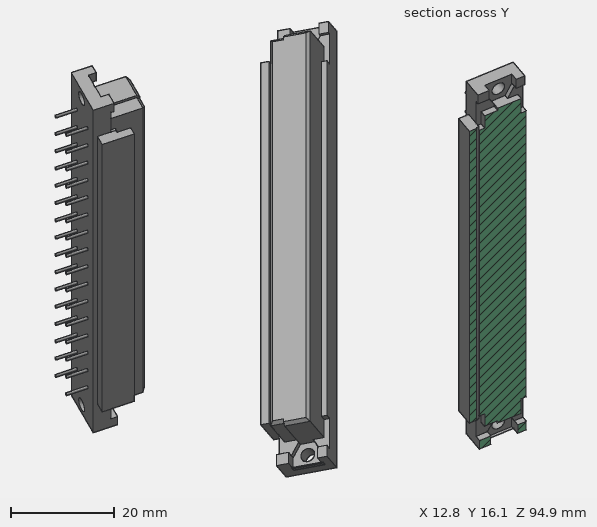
import cadquery as cq
import math

flange_width = 10.5
hole_spacing = 90.0
hole_margin = 2.4
flange_length = hole_spacing + 2 * hole_margin
half_length = flange_length / 2
flange_depth = 5.15
recess_floor = 3.7
recess_end = 8.9
top_lug_depth = 4.4

hole_diameter = 2.8
hole_x = -0.3
nut_across_corners = 6.0
nut_across_flats = nut_across_corners * math.cos(math.pi / 6)
nut_floor = 2.75

shroud_width = 8.2
shroud_back = 11.6
shroud_margin = hole_margin + nut_across_flats / 2
shroud_length = flange_length - 2 * shroud_margin
shroud_step_x = hole_x + nut_across_corners / 4
shroud_step = 0.6
shroud_chamfer = 0.65

rail_length = 78.6
rail_width = 2.25
rail_gap = 0.55
rail_front = 0.9
rail_foot_back = 4.8
rail_back = 7.65

pin_diameter = 0.6
pin_length = 4.5
pin_embed = 1.0
pin_pitch = 5.08
pin_rows = 16
pin_z_offset = 1.27

strip_width = 6.5
strip_depth = 1.1
strip_height = 0.1
strip_front = 2.2
strip_x = -0.45


def block(x_min, x_max, y_min, y_max, z_min, z_max):
    """Box given by its limits along each axis."""
    size = (x_max - x_min, y_max - y_min, z_max - z_min)
    return cq.Workplane("XY").box(*size, centered=False).translate((x_min, y_min, z_min))


def make_flange():
    """Side profile with a recess beside each end lug, extruded across X."""
    lug_inner = hole_spacing / 2
    middle_end = half_length - recess_end
    profile = [
        (0, -half_length),
        (flange_depth, -half_length),
        (flange_depth, -lug_inner),
        (recess_floor, -lug_inner),
        (recess_floor, -middle_end),
        (flange_depth, -middle_end),
        (flange_depth, middle_end),
        (recess_floor, middle_end),
        (recess_floor, lug_inner),
        (top_lug_depth, lug_inner),
        (top_lug_depth, half_length),
        (0, half_length),
    ]
    return cq.Workplane("YZ").polyline(profile).close().extrude(flange_width / 2, both=True)


def make_fastener_cut(side):
    """Through hole and open-ended nut pocket; side is +1 at the top, -1 at the bottom."""
    hole_z = side * hole_spacing / 2
    half_pocket = nut_across_corners / 2
    hole = cq.Workplane("XZ").center(hole_x, hole_z).circle(hole_diameter / 2).extrude(-flange_depth)
    nut = (
        cq.Workplane("XZ", origin=(0, nut_floor, 0))
        .center(hole_x, hole_z)
        .polygon(6, nut_across_corners)
        .extrude(nut_floor - flange_depth)
    )
    z_min, z_max = sorted((hole_z, side * half_length))
    slot = block(hole_x - half_pocket, hole_x + half_pocket, nut_floor, flange_depth, z_min, z_max)
    return hole.union(nut).union(slot)


def make_shroud_part(x_min, x_max, length, chamfered_edges):
    """One part of the shroud, chamfered along the chosen edges of its mating face."""
    part = block(x_min, x_max, recess_floor, shroud_back, -length / 2, length / 2)
    return part.faces(">Y").edges(chamfered_edges).chamfer(shroud_chamfer)


def make_shroud():
    half_width = shroud_width / 2
    long_part = make_shroud_part(-half_width, shroud_step_x, shroud_length, "<X or >Z or <Z")
    short_length = shroud_length - 2 * shroud_step
    short_part = make_shroud_part(shroud_step_x, half_width, short_length, ">X or >Z or <Z")
    return long_part.union(short_part)


def make_rail():
    """Foot against the flange side with a lip standing clear of it."""
    inner = flange_width / 2
    outer = inner + rail_width
    half_rail = rail_length / 2
    foot = block(inner, outer, rail_front, rail_foot_back, -half_rail, half_rail)
    lip = block(inner + rail_gap, outer, rail_front, rail_back, -half_rail, half_rail)
    return foot.union(lip)


def make_pins():
    """Two columns of round pins."""
    pin = (
        cq.Workplane("XZ", origin=(0, pin_embed, 0))
        .circle(pin_diameter / 2)
        .extrude(pin_embed + pin_length)
    )
    lowest_z = pin_z_offset - (pin_rows - 1) * pin_pitch / 2
    pins = cq.Workplane("XY")
    for row in range(pin_rows):
        for pin_x in (-pin_pitch / 2, pin_pitch / 2):
            pins.add(pin.translate((pin_x, 0, lowest_z + row * pin_pitch)))
    return pins.combine()


def make_end_strip():
    return block(
        strip_x - strip_width / 2,
        strip_x + strip_width / 2,
        strip_front,
        strip_front + strip_depth,
        -half_length - strip_height,
        -half_length,
    )


result = make_flange()
for side in (1, -1):
    result = result.cut(make_fastener_cut(side))
result = result.union(make_shroud())
result = result.union(make_rail())
result = result.union(make_end_strip())
result = result.union(make_pins())